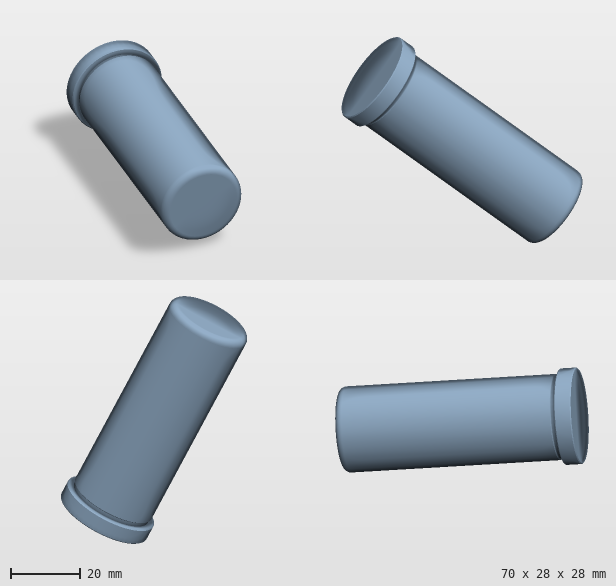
import cadquery as cq

total_length = 70.0
head_diameter = 28.0
head_thickness = 5.0
head_chamfer = 0.3
shank_diameter = 25.0
tip_radius = 2.0

groove_width = 1.5
groove_depth = 0.4
groove_wall_run = 0.3


def cylinder_along_x(start, length, diameter):
    return cq.Workplane("YZ").workplane(offset=start).circle(diameter / 2).extrude(length)


head = cylinder_along_x(0, head_thickness, head_diameter).edges().chamfer(head_chamfer)

neck_start = head_thickness / 2
neck_diameter = shank_diameter - 2 * groove_depth
shank_start = head_thickness + groove_width - groove_wall_run
neck = cylinder_along_x(neck_start, shank_start - neck_start, neck_diameter)

shank = cylinder_along_x(shank_start, total_length - shank_start, shank_diameter)
shank = shank.faces(">X").edges().fillet(tip_radius)
shank = shank.faces("<X").chamfer(groove_wall_run, groove_depth)

result = head.union(neck).union(shank)